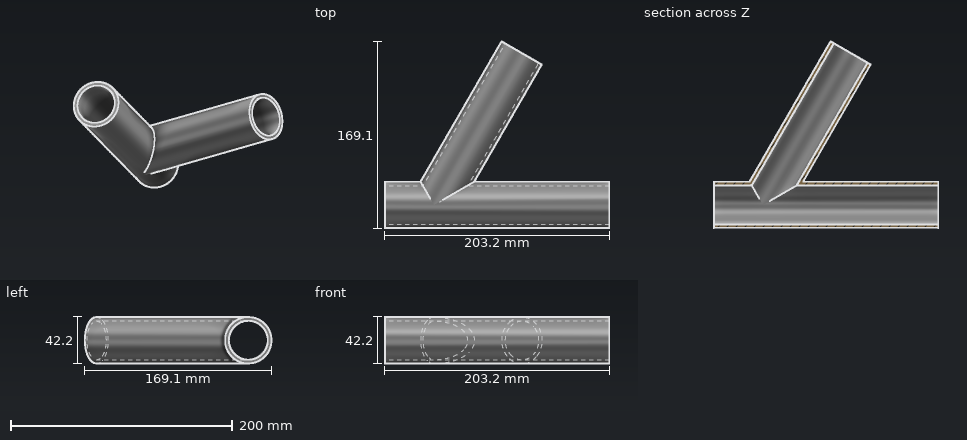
import cadquery as cq

outer_diameter = 42.16
bore_diameter = 35.05
run_length = 203.2
branch_length = 158.75
branch_angle = 60.0
branch_offset = 44.45


def run_cylinder(diameter):
    """Cylinder along +X, starting at the origin, as long as the run pipe."""
    return cq.Workplane("YZ").circle(diameter / 2).extrude(run_length)


def branch_cylinder(diameter):
    """Cylinder leaving the run axis in the XY plane at the branch angle."""
    along_x = cq.Workplane("YZ").circle(diameter / 2).extrude(branch_length)
    angled = along_x.rotate((0, 0, 0), (0, 0, 1), branch_angle)
    return angled.translate((branch_offset, 0, 0))


pipes = run_cylinder(outer_diameter).union(branch_cylinder(outer_diameter))
bores = run_cylinder(bore_diameter).union(branch_cylinder(bore_diameter))

result = pipes.cut(bores)